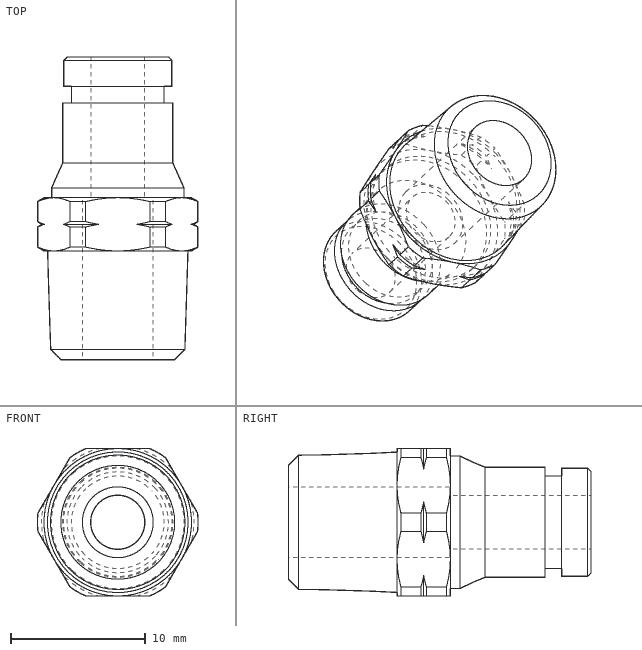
import cadquery as cq
import math

length = 22.6
end_chamfer_length = 0.77
hex_start = 8.11
hex_end = 12.1
collar_end = 12.81
cone_end = 14.7
groove_start = 19.16
groove_end = 20.39
head_chamfer_length = 0.27

end_face_radius = 4.25
thread_tip_radius = 5.02
taper_slope = 1 / 32
collar_radius = 4.95
stem_radius = 4.11
groove_radius = 3.45
head_radius = 4.05
head_face_radius = 3.77

across_flats = 11.0
rounded_corner_width = 12.0
hex_radius = rounded_corner_width / 2
bevel_angle = math.radians(30)
v_depth = 0.32
v_half_width = 0.2

bore_radius = 2.01
large_bore_radius = 2.65
large_bore_depth = hex_end


def revolve_profile(points):
    """Revolve a closed (radius, y) outline about the Y axis."""
    return cq.Workplane("XY").polyline(points).close().revolve(360, (0, 0, 0), (0, 1, 0))


def thread_radius(y):
    return thread_tip_radius + taper_slope * (y - end_chamfer_length)


def make_body():
    return revolve_profile([
        (0, 0),
        (end_face_radius, 0),
        (thread_tip_radius, end_chamfer_length),
        (thread_radius(hex_start), hex_start),
        (collar_radius, hex_start),
        (collar_radius, collar_end),
        (stem_radius, cone_end),
        (stem_radius, groove_start),
        (groove_radius, groove_start),
        (groove_radius, groove_end),
        (head_radius, groove_end),
        (head_radius, length - head_chamfer_length),
        (head_face_radius, length),
        (0, length),
    ])


def make_hexagon():
    across_corners = across_flats / math.cos(math.pi / 6)
    face_radius = across_flats / 2
    bevel_length = (hex_radius - face_radius) * math.tan(bevel_angle)
    middle = (hex_start + hex_end) / 2
    prism = (
        cq.Workplane("XZ", origin=(0, hex_start, 0))
        .polygon(6, across_corners)
        .extrude(hex_start - hex_end)
    )
    envelope = revolve_profile([
        (0, hex_start),
        (face_radius, hex_start),
        (hex_radius, hex_start + bevel_length),
        (hex_radius, middle - v_half_width),
        (hex_radius - v_depth, middle),
        (hex_radius, middle + v_half_width),
        (hex_radius, hex_end - bevel_length),
        (face_radius, hex_end),
        (0, hex_end),
    ])
    return prism.intersect(envelope)


def make_bore():
    return revolve_profile([
        (0, 0),
        (large_bore_radius, 0),
        (large_bore_radius, large_bore_depth),
        (bore_radius, large_bore_depth),
        (bore_radius, length),
        (0, length),
    ])


result = make_body().union(make_hexagon()).cut(make_bore())